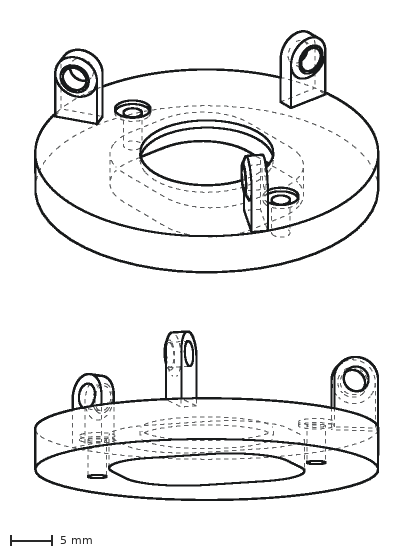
import cadquery as cq

disc_diameter = 41.2
disc_thickness = 5.0
bore_diameter = 16.0
bore_lip_thickness = 1.0
recess_length = 22.25
recess_width = 19.45
recess_corner_radius = 7.25

screw_offset = 13.95
screw_hole_diameter = 2.22
counterbore_diameter = 4.3
counterbore_depth = 0.5

overall_height = 13.6
lug_radius = 2.68
lug_thickness = 1.98
lug_back_offset = 4.05
lug_radial_position = 17.5
eye_diameter = 3.0
boss_tip_radius = 1.8
boss_height = 0.5
lug_spacing_angle = 120

eye_height = overall_height - lug_radius


def make_base():
    disc = cq.Workplane("XY").circle(disc_diameter / 2).extrude(disc_thickness)
    bore = cq.Workplane("XY").circle(bore_diameter / 2).extrude(disc_thickness)
    recess = (
        cq.Workplane("XY")
        .rect(recess_length, recess_width)
        .extrude(disc_thickness - bore_lip_thickness)
        .edges("|Z")
        .fillet(recess_corner_radius)
    )
    return (
        disc.cut(bore)
        .cut(recess)
        .faces(">Z")
        .workplane(origin=(0, 0, disc_thickness))
        .pushPoints([(-screw_offset, 0), (screw_offset, 0)])
        .cboreHole(screw_hole_diameter, counterbore_diameter, counterbore_depth)
    )


def make_lug():
    """Lug on the +Y side, with its boss facing +X."""
    back = cq.Workplane("YZ", origin=(-lug_back_offset, lug_radial_position, eye_height))
    foot_level = disc_thickness - eye_height
    plate = (
        back.moveTo(-lug_radius, foot_level)
        .lineTo(lug_radius, foot_level)
        .lineTo(lug_radius, 0)
        .threePointArc((0, lug_radius), (-lug_radius, 0))
        .close()
        .extrude(lug_thickness)
    )
    boss = (
        back.workplane(offset=lug_thickness)
        .circle(lug_radius)
        .workplane(offset=boss_height)
        .circle(boss_tip_radius)
        .loft()
    )
    eye = back.circle(eye_diameter / 2).extrude(lug_thickness + boss_height)
    return plate.union(boss).cut(eye)


rear_lug = make_lug()
right_lug = rear_lug.rotate((0, 0, 0), (0, 0, 1), -lug_spacing_angle)
left_lug = right_lug.mirror("YZ")

result = make_base()
for lug in (rear_lug, right_lug, left_lug):
    result = result.union(lug)